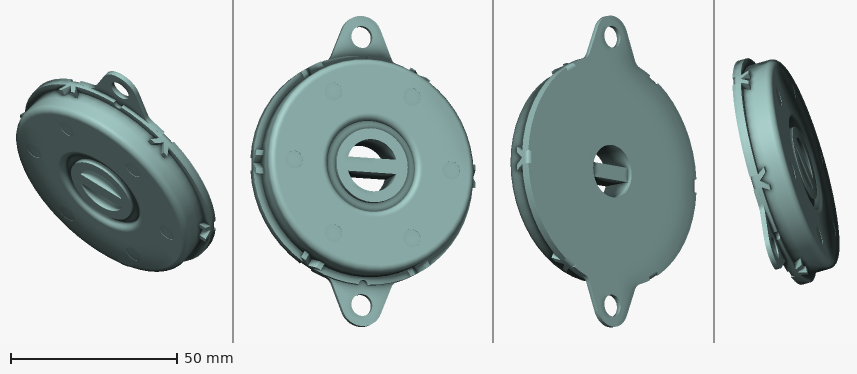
import cadquery as cq
import math


overall_depth = 11.3
overall_height = 95.0
overall_width = 70.0
disc_radius = overall_width / 2
bore_radius = 8.0
claw_count = 6

plate_thickness = 1.5
ear_hole_offset = 41.0
ear_hole_radius = 3.3
ear_radius = overall_height / 2 - ear_hole_offset
ear_side_angle = 22.0
ear_root_height = 28.5
ear_fillet = 3.1

flange_thickness = 1.1
flange_front = plate_thickness + flange_thickness
cup_radius = 32.7
rim_fillet = 2.0
recess_radius = 13.9
recess_depth = rim_fillet
hub_radius = 11.3
hub_setback = 0.4
crossbar_width = 4.4
dimple_count = 6
dimple_circle_radius = 25.0
dimple_radius = 2.8
dimple_depth = 0.1
notch_radius = 1.4

claw_neck_half_width = 2.0
claw_tip_outer = 3.6
claw_tip_inner = 2.0
claw_length = 2.4
claw_tip_depth = flange_front + claw_length
claw_bend_radius = 1.4


def at_depth(depth):
    """Workplane at a given depth, facing the front (-Y)."""
    return cq.Workplane("XZ", origin=(0, -depth, 0))


def disc(radius, start, end):
    """Solid disc on the main axis between two depths."""
    return at_depth(start).circle(radius).extrude(end - start)


def ring(outer_radius, inner_radius, start, end):
    """Flat ring on the main axis between two depths."""
    return at_depth(start).circle(outer_radius).circle(inner_radius).extrude(end - start)


def turned(shape, index, count):
    """The shape turned about the main axis to one of several equal positions."""
    return shape.rotate((0, 0, 0), (0, 1, 0), index * 360 / count)


def ear(side):
    """Tapered mounting ear above (side = 1) or below (side = -1) the disc."""
    angle = math.radians(ear_side_angle)
    tangent_x = ear_radius * math.cos(angle)
    tangent_z = ear_hole_offset + ear_radius * math.sin(angle)
    root_x = tangent_x + (tangent_z - ear_root_height) * math.tan(angle)
    return (
        at_depth(0)
        .moveTo(-root_x, side * ear_root_height)
        .lineTo(-tangent_x, side * tangent_z)
        .threePointArc((0, side * overall_height / 2), (tangent_x, side * tangent_z))
        .lineTo(root_x, side * ear_root_height)
        .close()
        .extrude(plate_thickness)
    )


def ear_root_edges():
    """Selector for the four corners where the ear sides meet the disc."""
    reach = disc_radius / 2
    return cq.selectors.BoxSelector(
        (-reach, -plate_thickness, -disc_radius), (reach, 0, disc_radius)
    )


def radial_prism(outline):
    """Outline of (sideways, depth) points, extruded from the axis past the rim along +X."""
    points = [(-depth, sideways) for sideways, depth in outline]
    return cq.Workplane("YZ").polyline(points).close().extrude(2 * disc_radius)


def neck_prism(start, end):
    """Radial block as wide as a claw neck between two depths."""
    half = claw_neck_half_width
    return radial_prism([(-half, start), (half, start), (half, end), (-half, end)])


def claw():
    """Y-shaped claw at +X that passes through the flange and spreads in front of it."""
    outline = [
        (-claw_neck_half_width, plate_thickness),
        (-claw_neck_half_width, flange_front),
        (-claw_tip_outer, claw_tip_depth),
        (-claw_tip_inner, claw_tip_depth),
        (0, flange_front),
        (claw_tip_inner, claw_tip_depth),
        (claw_tip_outer, claw_tip_depth),
        (claw_neck_half_width, flange_front),
        (claw_neck_half_width, plate_thickness),
    ]
    band = ring(disc_radius, cup_radius, plate_thickness, claw_tip_depth)
    return band.intersect(radial_prism(outline))


def claw_bend_waste():
    """Material outside the rounded bend at the back of the claw at +X."""
    square_disc = disc(disc_radius, 0, plate_thickness)
    bent_disc = square_disc.faces(">Y").edges().fillet(claw_bend_radius)
    return square_disc.cut(bent_disc).intersect(neck_prism(0, plate_thickness))


def make_mounting_plate():
    """Back plate with two ears and a ring of claws that hold the cup."""
    plate = disc(disc_radius, 0, plate_thickness).union(ear(1)).union(ear(-1))
    plate = plate.edges("|Y").edges(ear_root_edges()).fillet(ear_fillet)
    ear_holes = (
        at_depth(0)
        .pushPoints([(0, ear_hole_offset), (0, -ear_hole_offset)])
        .circle(ear_hole_radius)
        .extrude(plate_thickness)
    )
    plate = plate.cut(ear_holes).cut(disc(bore_radius, 0, plate_thickness))
    for index in range(claw_count):
        plate = plate.cut(turned(claw_bend_waste(), index, claw_count))
        plate = plate.union(turned(claw(), index, claw_count))
    return plate


def make_cup():
    """Flanged cup with a recessed hub, a crossbar in its bore and shallow dimples."""
    cup = disc(cup_radius, plate_thickness, overall_depth)

    cup = cup.faces("<Y").edges().fillet(rim_fillet)
    recess_floor = overall_depth - recess_depth
    lip_radius = recess_radius + rim_fillet
    recess = (
        cq.Workplane("XY")
        .moveTo(0, -recess_floor)
        .lineTo(recess_radius, -recess_floor)
        .radiusArc((lip_radius, -overall_depth), -rim_fillet)
        .lineTo(0, -overall_depth)
        .close()
        .revolve(360, (0, 0, 0), (0, 1, 0))
    )
    cup = cup.cut(recess).union(disc(hub_radius, recess_floor, overall_depth - hub_setback))

    bore = disc(bore_radius, plate_thickness, overall_depth)
    crossbar = cq.Workplane("XY").box(2 * bore_radius, 2 * overall_depth, crossbar_width)
    cup = cup.cut(bore.cut(crossbar))

    dimples = (
        at_depth(overall_depth - dimple_depth)
        .polarArray(dimple_circle_radius, 0, 360, dimple_count)
        .circle(dimple_radius)
        .extrude(dimple_depth)
    )
    cup = cup.cut(dimples)

    flange = ring(disc_radius, cup_radius, plate_thickness, flange_front)
    for index in range(claw_count):
        flange = flange.cut(turned(neck_prism(plate_thickness, flange_front), index, claw_count))
    notches = (
        at_depth(plate_thickness)
        .pushPoints([(0, disc_radius), (0, -disc_radius)])
        .circle(notch_radius)
        .extrude(flange_thickness)
    )
    return cup.union(flange.cut(notches))


mounting_plate = make_mounting_plate()
cup = make_cup()
result = cq.Compound.makeCompound([mounting_plate.solids().val(), cup.solids().val()])